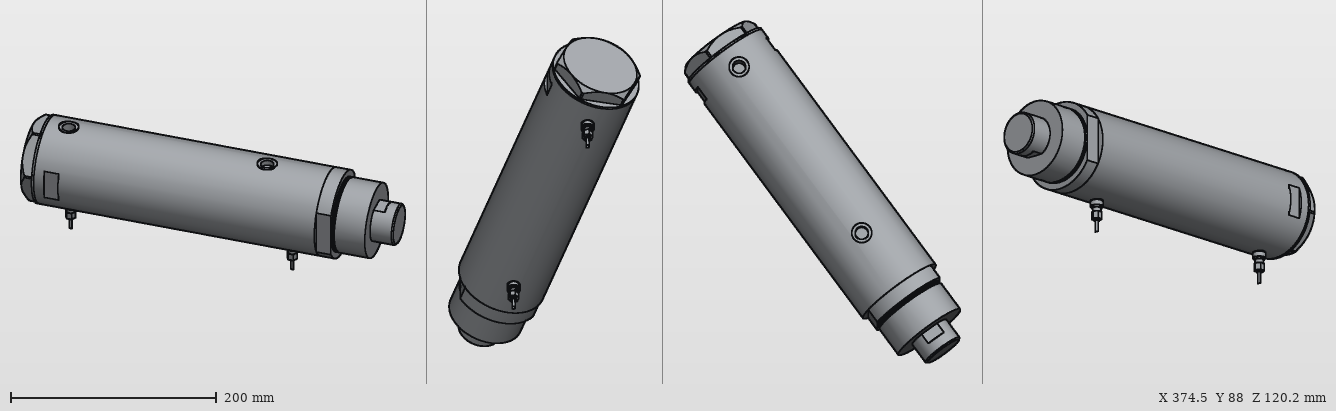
import cadquery as cq
import math


flange_start = 13.0
barrel_start = 15.5
barrel_end = 302.0
collar_end = 316.8
head_end = 351.3
overall_length = 374.5

overall_height = 120.2

barrel_diameter = 88.0
barrel_radius = barrel_diameter / 2
barrel_flat_start = 25.5
barrel_flat_length = 14.5
barrel_flat_offset = 41.2
spotface_radius = 9.7
spotface_height = 42.7
port_radius = 6.5
rear_port_x = 37.0
rear_port_depth = 15.0
front_port_x = 239.5
front_port_depth = 5.5

hex_sides = 6
hex_across_flats = 75.0
hex_turned_radius = 42.7
hex_face_radius = 37.5
hex_rotation = -7.5

collar_flat_offset = 37.5
nose_radius = collar_flat_offset
groove_depth = 1.0
groove_width = 3 * groove_depth

shaft_radius = 20.5
shaft_chamfer = 1.5
shaft_flat_length = 11.2
shaft_flat_offset = 18.5

sensor_positions = [39.0, 265.0]
sensor_seat_radius = 5.5
sensor_seat_z = -41.2
sensor_body_radius = 6.5
sensor_body_top = -44.5
sensor_body_bottom = -49.8
sensor_step_radius = 5.0
sensor_step_bottom = -51.5
sensor_neck_radius = 4.0
sensor_nut_top = -55.8
sensor_nut_bottom = -63.0
sensor_nut_across_flats = 9.0
sensor_gland_radius = 2.5
sensor_gland_bottom = -64.5
cable_radius = 1.5
cable_end = barrel_radius - overall_height
cable_slant = 1.0


def axial_cylinder(radius, start, end):
    """Cylinder on the motor axis between two X stations."""
    return cq.Workplane("YZ", origin=(start, 0, 0)).circle(radius).extrude(end - start)


def vertical_cylinder(x, radius, bottom, top):
    """Cylinder along Z, centred on the motor's vertical middle plane."""
    return cq.Workplane("XY", origin=(x, 0, bottom)).circle(radius).extrude(top - bottom)


def circumscribed_diameter(across_flats):
    """Corner-to-corner width of a hexagon."""
    return across_flats / math.cos(math.pi / hex_sides)


def cut_side_flats(body, start, length, offset):
    """Mill two flats facing -Y and +Y at the given distance from the axis."""
    cutter = cq.Workplane("XY").box(length, barrel_radius, 2 * barrel_radius)
    for side in (-1, 1):
        cutter_y = side * (offset + barrel_radius / 2)
        body = body.cut(cutter.translate((start + length / 2, cutter_y, 0)))
    return body


def make_cap():
    """Hexagonal cap with turned, chamfered corners and a round flange."""
    hexagon = (
        cq.Workplane("YZ")
        .polygon(hex_sides, circumscribed_diameter(hex_across_flats))
        .extrude(flange_start)
        .rotate((0, 0, 0), (1, 0, 0), hex_rotation)
    )
    turned = axial_cylinder(hex_turned_radius, 0, flange_start)
    turned = turned.faces("<X").chamfer(hex_turned_radius - hex_face_radius)
    flange = axial_cylinder(barrel_radius, flange_start, barrel_start)
    return hexagon.intersect(turned).union(flange)


def make_barrel():
    """Main tube with wrench flats, spotfaced ports and sensor seats."""
    body = axial_cylinder(barrel_radius, barrel_start, barrel_end)
    body = cut_side_flats(body, barrel_flat_start, barrel_flat_length, barrel_flat_offset)
    for x, depth in ((rear_port_x, rear_port_depth), (front_port_x, front_port_depth)):
        body = body.cut(vertical_cylinder(x, spotface_radius, spotface_height, barrel_radius))
        body = body.cut(vertical_cylinder(x, port_radius, spotface_height - depth, barrel_radius))
    for x in sensor_positions:
        body = body.cut(vertical_cylinder(x, sensor_seat_radius, -barrel_radius, sensor_seat_z))
    return body


def make_head():
    """Flatted collar and round nose, separated by a narrow groove with 45 degree walls."""
    collar = axial_cylinder(barrel_radius, barrel_end, collar_end)
    collar = cut_side_flats(collar, barrel_end, collar_end - barrel_end, collar_flat_offset)
    groove_end = collar_end + groove_width
    floor_radius = nose_radius - groove_depth
    nose = (
        cq.Workplane("XY")
        .moveTo(collar_end, 0)
        .lineTo(collar_end, nose_radius)
        .lineTo(collar_end + groove_depth, floor_radius)
        .lineTo(groove_end - groove_depth, floor_radius)
        .lineTo(groove_end, nose_radius)
        .lineTo(head_end, nose_radius)
        .lineTo(head_end, 0)
        .close()
        .revolve(360, (0, 0, 0), (1, 0, 0))
    )
    return collar.union(nose)


def make_shaft():
    """Round output shaft with two flats facing up and down beside the head."""
    body = axial_cylinder(shaft_radius, head_end, overall_length)
    body = body.faces(">X").chamfer(shaft_chamfer)
    cutter = cq.Workplane("XY").box(shaft_flat_length, 2 * shaft_radius, shaft_radius)
    for side in (-1, 1):
        cutter_z = side * (shaft_flat_offset + shaft_radius / 2)
        body = body.cut(cutter.translate((head_end + shaft_flat_length / 2, 0, cutter_z)))
    return body


def make_sensor(x):
    """Stepped sensor with a hexagonal nut and a cable cut off at a slant."""
    stem = vertical_cylinder(x, sensor_seat_radius, sensor_body_top, sensor_seat_z)
    body = vertical_cylinder(x, sensor_body_radius, sensor_body_bottom, sensor_body_top)
    step = vertical_cylinder(x, sensor_step_radius, sensor_step_bottom, sensor_body_bottom)
    neck = vertical_cylinder(x, sensor_neck_radius, sensor_nut_top, sensor_step_bottom)
    nut = (
        cq.Workplane("XY", origin=(x, 0, sensor_nut_bottom))
        .polygon(hex_sides, circumscribed_diameter(sensor_nut_across_flats))
        .extrude(sensor_nut_top - sensor_nut_bottom)
    )
    gland = vertical_cylinder(x, sensor_gland_radius, sensor_gland_bottom, sensor_nut_bottom)
    cable = (
        cq.Workplane("XZ", origin=(x, 0, 0))
        .moveTo(-cable_radius, sensor_gland_bottom)
        .lineTo(cable_radius, sensor_gland_bottom)
        .lineTo(cable_radius, cable_end)
        .lineTo(-cable_radius, cable_end + cable_slant)
        .close()
        .extrude(cable_radius, both=True)
        .intersect(vertical_cylinder(x, cable_radius, cable_end, sensor_gland_bottom))
    )
    return stem.union(body).union(step).union(neck).union(nut).union(gland).union(cable)


cap = make_cap()
barrel = make_barrel()
head = make_head()
shaft = make_shaft()
sensors = [make_sensor(x).val() for x in sensor_positions]

result = cq.Compound.makeCompound([cap.val(), barrel.val(), head.val(), shaft.val(), *sensors])